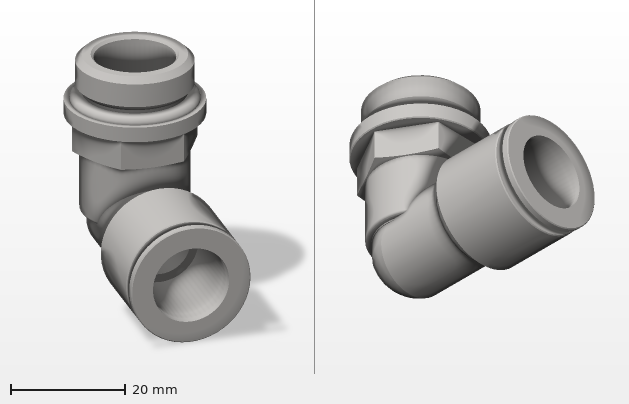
import cadquery as cq
import math


elbow_radius = 17.0 / 2
passage_radius = 11.0 / 2
corner_offset = 0.4

stud_top = 30.53
thread_radius = 20.95 / 2
thread_end_radius = 18.65 / 2
thread_lead_in = 1.05
thread_bottom = 25.1
groove_top = 24.0
seal_top = 23.35
flange_top = 22.05
seal_radius = 23.05 / 2
seal_round = seal_top - flange_top
flange_radius = 25.0 / 2
flange_bottom = 19.1
hex_across_flats = 20.02
hex_bottom = 12.95
hex_chamfer_rise = 0.45
sleeve_radius = 19.5 / 2
sleeve_bottom = 0.95
sleeve_round = 0.5
step_radius = 8.65
step_bottom = 0.65
stud_bore_radius = 14.5 / 2
stud_bore_chamfer = 0.5
stud_bore_floor = hex_bottom

socket_radius = 22.0 / 2
cone_start = 12.05
cone_end = 14.6
socket_end = 29.1
collar_neck_radius = 15.8 / 2
collar_inner_face = 30.8
collar_end = 32.0
tube_bore_radius = 14.0 / 2
tube_stop = cone_end
edge_break = 0.2


def upright_cylinder(radius, bottom, top):
    return cq.Workplane("XY").workplane(offset=bottom).circle(radius).extrude(top - bottom)


def level_cylinder(radius, start, end):
    return cq.Workplane("YZ").workplane(offset=start).circle(radius).extrude(end - start)


def make_elbow():
    """Two mitred cylinders whose outer corner is rounded by a sphere."""
    r = elbow_radius
    corner = upright_cylinder(r, -r, r).intersect(level_cylinder(r, -r, r))
    rounding_limit = -2 * corner_offset
    corner_block = cq.Workplane("XY").box(2 * r, 2 * r, 2 * r)
    corner_block = corner_block.translate((rounding_limit - r, 0, rounding_limit - r))
    sphere = cq.Workplane("XY").sphere(r).translate((-corner_offset, 0, -corner_offset))
    corner = corner.cut(corner_block.cut(sphere))
    return corner.union(upright_cylinder(r, 0, hex_bottom)).union(level_cylinder(r, 0, cone_start))


def make_stud():
    """Turned profile of the stepped sleeve, flange, sealing ring and thread."""
    return (
        cq.Workplane("XZ")
        .moveTo(0, step_bottom)
        .lineTo(step_radius, step_bottom)
        .lineTo(step_radius, sleeve_bottom)
        .lineTo(sleeve_radius - sleeve_round, sleeve_bottom)
        .radiusArc((sleeve_radius, sleeve_bottom + sleeve_round), -sleeve_round)
        .lineTo(sleeve_radius, flange_bottom)
        .lineTo(flange_radius - edge_break, flange_bottom)
        .lineTo(flange_radius, flange_bottom + edge_break)
        .lineTo(flange_radius, flange_top)
        .lineTo(seal_radius, flange_top)
        .radiusArc((seal_radius - seal_round, seal_top), -seal_round)
        .lineTo(thread_end_radius, seal_top)
        .lineTo(thread_end_radius, groove_top)
        .lineTo(thread_radius, thread_bottom)
        .lineTo(thread_radius, stud_top - thread_lead_in)
        .lineTo(thread_end_radius, stud_top)
        .lineTo(0, stud_top)
        .close()
        .revolve(360, (0, 0), (0, 1))
    )


def make_hex():
    """Spanner hexagon with flats facing +/-X and its lower corners turned off."""
    corner_radius = hex_across_flats / 2 / math.cos(math.pi / 6)
    hexagon = (
        cq.Workplane("XY")
        .workplane(offset=hex_bottom)
        .polygon(6, 2 * corner_radius)
        .extrude(flange_bottom - hex_bottom)
        .rotate((0, 0, 0), (0, 0, 1), 30)
    )
    envelope = (
        cq.Workplane("XZ")
        .moveTo(0, hex_bottom)
        .lineTo(sleeve_radius, hex_bottom)
        .lineTo(corner_radius, hex_bottom + hex_chamfer_rise)
        .lineTo(corner_radius, flange_bottom)
        .lineTo(0, flange_bottom)
        .close()
        .revolve(360, (0, 0), (0, 1))
    )
    return hexagon.intersect(envelope)


def make_socket():
    """Turned profile of the tapered socket and its release collar."""
    return (
        cq.Workplane("XY")
        .moveTo(cone_start, 0)
        .lineTo(cone_start, elbow_radius)
        .lineTo(cone_end, socket_radius)
        .lineTo(socket_end - edge_break, socket_radius)
        .lineTo(socket_end, socket_radius - edge_break)
        .lineTo(socket_end, collar_neck_radius)
        .lineTo(collar_inner_face, collar_neck_radius)
        .lineTo(collar_inner_face, socket_radius)
        .lineTo(collar_end - edge_break, socket_radius)
        .lineTo(collar_end, socket_radius - edge_break)
        .lineTo(collar_end, 0)
        .close()
        .revolve(360, (0, 0), (1, 0))
    )


def make_bores():
    """Stud counterbore, tube bore and the passage joining them round the corner."""
    passage = cq.Workplane("XY").sphere(passage_radius)
    passage = passage.union(upright_cylinder(passage_radius, 0, stud_bore_floor))
    passage = passage.union(level_cylinder(passage_radius, 0, tube_stop))
    stud_bore = (
        upright_cylinder(stud_bore_radius, stud_bore_floor, stud_top)
        .union(
            cq.Workplane("XY")
            .workplane(offset=stud_top)
            .circle(stud_bore_radius + stud_bore_chamfer)
            .extrude(-stud_bore_chamfer, taper=45)
        )
    )
    tube_bore = level_cylinder(tube_bore_radius, tube_stop, collar_end)
    return passage.union(stud_bore).union(tube_bore)


body = make_elbow().union(make_stud()).union(make_hex()).union(make_socket())
result = body.cut(make_bores())